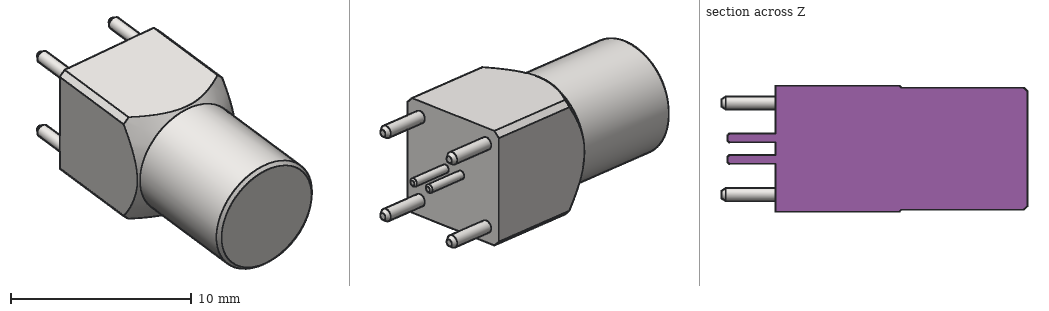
import cadquery as cq

total_length = 17.0
body_start = 3.0
body_end = 10.0

body_width = 7.0
corner_chamfer = 0.34

barrel_diameter = 6.8
barrel_chamfer = 0.2

front_cone_radius = barrel_diameter / 2

mount_pin_diameter = 0.75
mount_pin_pitch = 5.08
mount_pin_tip_length = 0.25
mount_pin_tip_diameter = 0.4

contact_pin_start = 0.34
contact_pin_diameter = 0.51
contact_pin_pitch = 1.19
contact_pin_tip_length = 0.1
contact_pin_tip_diameter = 0.3


def make_body():
    """Square block with chamfered long edges, its front corners turned to a 45 degree cone."""
    body_length = body_end - body_start
    block = (
        cq.Workplane("YZ", origin=(body_start, 0, 0))
        .rect(body_width, body_width)
        .extrude(body_length)
        .edges("|X")
        .chamfer(corner_chamfer)
    )
    cone = (
        cq.Workplane("XY")
        .moveTo(body_start, 0)
        .lineTo(body_start, front_cone_radius + body_length)
        .lineTo(body_end, front_cone_radius)
        .lineTo(body_end, 0)
        .close()
        .revolve(360, (0, 0, 0), (1, 0, 0))
    )
    return block.intersect(cone)


def make_barrel():
    """Cylinder in front of the body with a chamfered free end."""
    return (
        cq.Workplane("YZ", origin=(body_end, 0, 0))
        .circle(barrel_diameter / 2)
        .extrude(total_length - body_end)
        .faces(">X")
        .chamfer(barrel_chamfer)
    )


def make_pin(start, diameter, tip_length, tip_diameter):
    """Pin on the X axis with a conical tip, ending on the back of the body."""
    return (
        cq.Workplane("XY")
        .moveTo(start, 0)
        .lineTo(start, tip_diameter / 2)
        .lineTo(start + tip_length, diameter / 2)
        .lineTo(body_start, diameter / 2)
        .lineTo(body_start, 0)
        .close()
        .revolve(360, (0, 0, 0), (1, 0, 0))
    )


result = make_body().union(make_barrel())

mount_pin = make_pin(0, mount_pin_diameter, mount_pin_tip_length, mount_pin_tip_diameter)
for side_y in (-1, 1):
    for side_z in (-1, 1):
        offset = (0, side_y * mount_pin_pitch / 2, side_z * mount_pin_pitch / 2)
        result = result.union(mount_pin.translate(offset))

contact_pin = make_pin(
    contact_pin_start, contact_pin_diameter, contact_pin_tip_length, contact_pin_tip_diameter
)
for side_y in (-1, 1):
    result = result.union(contact_pin.translate((0, side_y * contact_pin_pitch / 2, 0)))